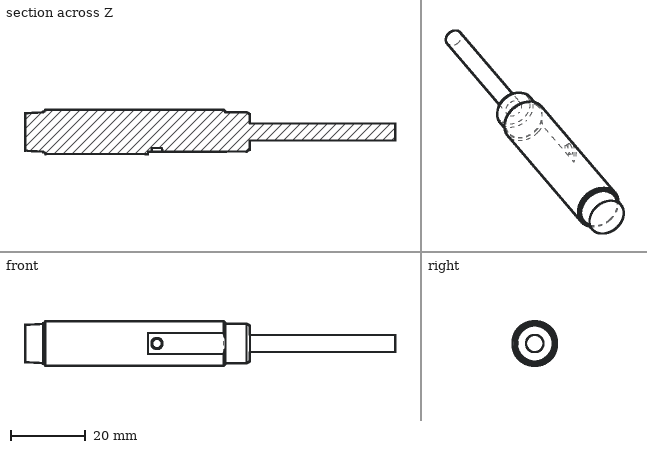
import cadquery as cq

total_length = 99.0
lip_start = 4.9
body_start = 5.1
body_end = 53.6
sleeve_end = 60.1

nose_tip_diameter = 10.1
sleeve_diameter = 10.6
body_diameter = 12.0
lip_diameter = 11.1
cable_diameter = 4.7

front_chamfer_length = 0.3
rear_chamfer = 0.5
sleeve_chamfer_length = 0.9
sleeve_chamfer_depth = 0.5

flat_start = 32.9
flat_distance = sleeve_diameter / 2
recess_mouth_diameter = 3.0
recess_floor_diameter = 2.6
recess_offset = 2.4
recess_depth = 1.0

turned_profile = [
    (0, 0),
    (0, nose_tip_diameter / 2),
    (lip_start, sleeve_diameter / 2),
    (lip_start, lip_diameter / 2),
    (body_start, lip_diameter / 2),
    (body_start + front_chamfer_length, body_diameter / 2),
    (body_end - rear_chamfer, body_diameter / 2),
    (body_end, body_diameter / 2 - rear_chamfer),
    (body_end, sleeve_diameter / 2),
    (sleeve_end - sleeve_chamfer_length, sleeve_diameter / 2),
    (sleeve_end, sleeve_diameter / 2 - sleeve_chamfer_depth),
    (sleeve_end, cable_diameter / 2),
    (total_length, cable_diameter / 2),
    (total_length, 0),
]
body = cq.Workplane("XY").polyline(turned_profile).close().revolve(360, (0, 0, 0), (1, 0, 0))

flat_cutter = cq.Workplane("XY").box(
    body_end - flat_start, body_diameter, body_diameter, centered=(False, False, True)
).translate((flat_start, -flat_distance - body_diameter, 0))
body = body.cut(flat_cutter)

recess = (
    cq.Workplane("XZ", origin=(flat_start + recess_offset, -flat_distance, 0))
    .circle(recess_mouth_diameter / 2)
    .workplane(offset=-recess_depth)
    .circle(recess_floor_diameter / 2)
    .loft()
)

result = body.cut(recess)